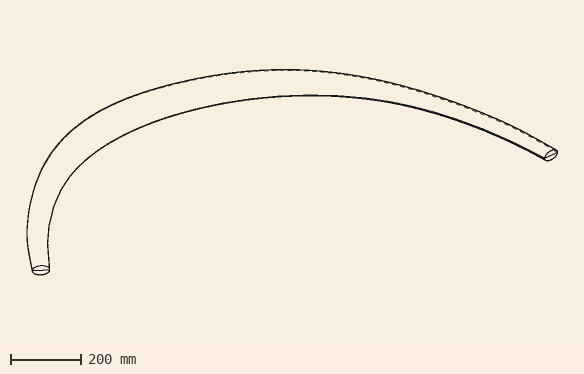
import cadquery as cq
import math

THICKNESS = 31.0
DROP = 3.0
LENGTH_X = 46.2
TILT = math.degrees(math.asin(DROP / LENGTH_X))
SECTION_COUNT = 17

OUTER_EDGE = [(0, 0), (51.0, 287.0), (165.0, 470.0), (375.0, 648.0), (590.0, 767.0), (749.0, 825)]
INNER_EDGE = [(143.0, 0), (195.0, 287.0), (297.0, 470.0), (500.0, 648.0), (763.0, 777.0)]


def full_edge(half_edge):
    """Smooth edge from the -Y tip to the +Y tip, mirrored about the X axis."""
    mirrored = [(x, -y) for x, y in reversed(half_edge[1:])]
    return cq.Edge.makeSpline([cq.Vector(x, y) for x, y in mirrored + half_edge])


def half_ellipse(outer_point, inner_point, side):
    """Half of a section ellipse, standing on the split plane; side is +1 above, -1 below."""
    center = (outer_point + inner_point) * 0.5
    across = inner_point - center
    half_thickness = THICKNESS / 2
    normal = across.cross(cq.Vector(0, 0, side))
    crest = cq.Edge.makeEllipse(across.Length, half_thickness, center, normal, across, 0, 180)
    return cq.Wire.assembleEdges([crest, cq.Edge.makeLine(outer_point, inner_point)])


def make_shell(side):
    """Smooth loft through the half sections, turned about the Y axis to lower the tips."""
    outer_edge = full_edge(OUTER_EDGE)
    inner_edge = full_edge(INNER_EDGE)
    stations = [index / (SECTION_COUNT - 1) for index in range(SECTION_COUNT)]
    wires = [
        half_ellipse(outer_edge.positionAt(station), inner_edge.positionAt(station), side)
        for station in stations
    ]
    shell = cq.Solid.makeLoft(wires)
    return shell.rotate((0, 0, 0), (0, 1, 0), TILT)


upper_shell = make_shell(1)
lower_shell = make_shell(-1)

result = cq.Compound.makeCompound([upper_shell, lower_shell])